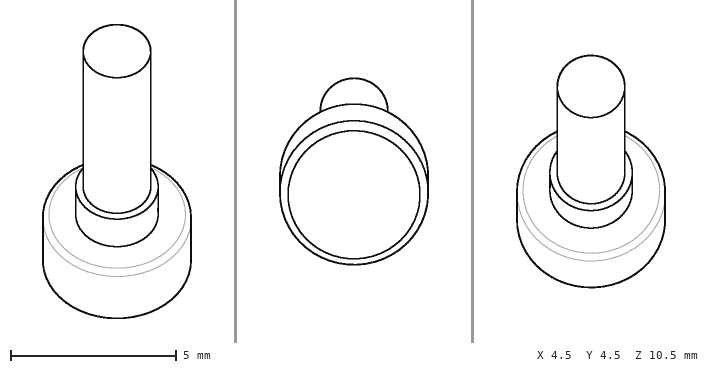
import cadquery as cq

total_length = 10.5

head_diameter = 4.5
head_height = 2.5
head_fillet = 0.18
head_chamfer = 0.25

collar_diameter = 2.5
collar_height = 1.35

shank_diameter = 2.05
shank_length = total_length - head_height - collar_height


def make_head():
    """Cylindrical head standing on the XY plane."""
    head = cq.Workplane("XY").circle(head_diameter / 2).extrude(head_height)
    head = head.faces(">Z").edges().fillet(head_fillet)
    return head.faces("<Z").edges().chamfer(head_chamfer)


def add_cylinder(body, diameter, height):
    """Stack a coaxial cylinder on the top face of the body."""
    return body.faces(">Z").workplane().circle(diameter / 2).extrude(height)


with_collar = add_cylinder(make_head(), collar_diameter, collar_height)
result = add_cylinder(with_collar, shank_diameter, shank_length)